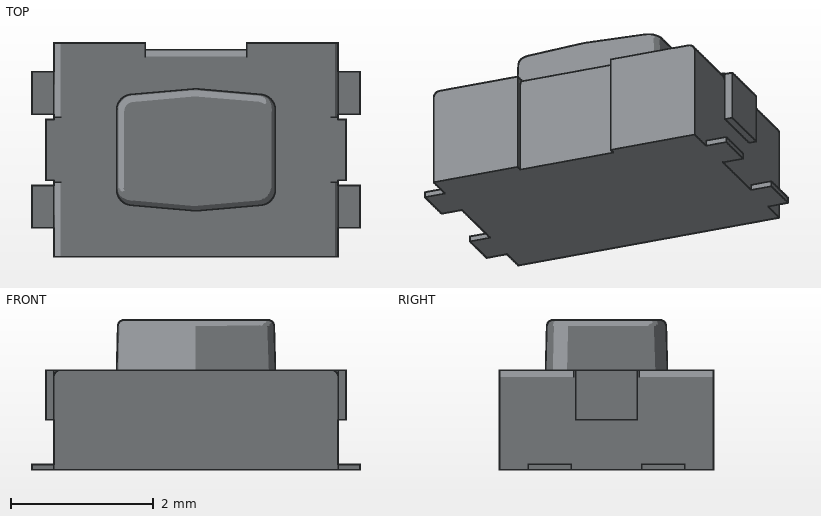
import cadquery as cq

overall_length = 4.6
housing_length = 3.985
housing_width = 3.0
housing_height = 1.4
bend_radius = 0.095

notch_length = 1.415
notch_depth = bend_radius

tab_span = 4.205
tab_width = 0.855
tab_height = 0.7
tab_root_width = 0.91
tab_root_height = 0.745

lead_width = 0.6
lead_thickness = 0.08
lead_spacing = 1.59

button_height = 0.705
button_half_length = 1.115
button_peak = 0.855
button_shoulder = 0.76
button_corner_radius = 0.225
button_peak_radius = 0.275
button_draft = 1.5
button_top_radius = 0.09


def block(length, width, height, base_z):
    """Block centred on the Z axis, standing on base_z."""
    return cq.Workplane("XY").workplane(offset=base_z).box(
        length, width, height, centered=(True, True, False)
    )


def make_housing():
    """Block with a notched back wall and rounded bends along its top edges."""
    housing = block(housing_length, housing_width, housing_height, 0)
    notch_y = (housing_width - notch_depth) / 2
    notch = block(notch_length, notch_depth, housing_height, 0).translate((0, notch_y, 0))
    housing = housing.edges("|Y and >Z").fillet(bend_radius).cut(notch)
    notch_edge = cq.selectors.NearestToPointSelector(
        (0, housing_width / 2 - notch_depth, housing_height)
    )
    return housing.edges(notch_edge).fillet(bend_radius)


def make_tabs():
    """Square-edged roots filling the side bends, with narrower tabs projecting outward."""
    roots = block(housing_length, tab_root_width, tab_root_height, housing_height - tab_root_height)
    tabs = block(tab_span, tab_width, tab_height, housing_height - tab_height)
    return roots.union(tabs)


def make_leads():
    """Two flat strips emerging from both ends, flush with the underside."""
    strip = block(overall_length, lead_width, lead_thickness, 0)
    front = strip.translate((0, -lead_spacing / 2, 0))
    back = strip.translate((0, lead_spacing / 2, 0))
    return front.union(back)


def make_button():
    """Drafted button whose long sides rise to a shallow, rounded peak."""
    outline = [
        (-button_half_length, -button_shoulder),
        (0, -button_peak),
        (button_half_length, -button_shoulder),
        (button_half_length, button_shoulder),
        (0, button_peak),
        (-button_half_length, button_shoulder),
    ]
    button = (
        cq.Workplane("XY")
        .workplane(offset=housing_height)
        .polyline(outline)
        .close()
        .extrude(button_height, taper=button_draft)
    )
    peak_reach = button_half_length / 2
    upright = button.edges("not(#Z)")
    peaks = cq.selectors.BoxSelector(
        (-peak_reach, -housing_width, 0), (peak_reach, housing_width, housing_height + button_height)
    )
    button = upright.edges(cq.selectors.InverseSelector(peaks)).fillet(button_corner_radius)
    button = button.edges("not(#Z)").edges(peaks).fillet(button_peak_radius)
    return button.faces(">Z").edges().fillet(button_top_radius)


result = make_housing().union(make_tabs()).union(make_leads()).union(make_button())